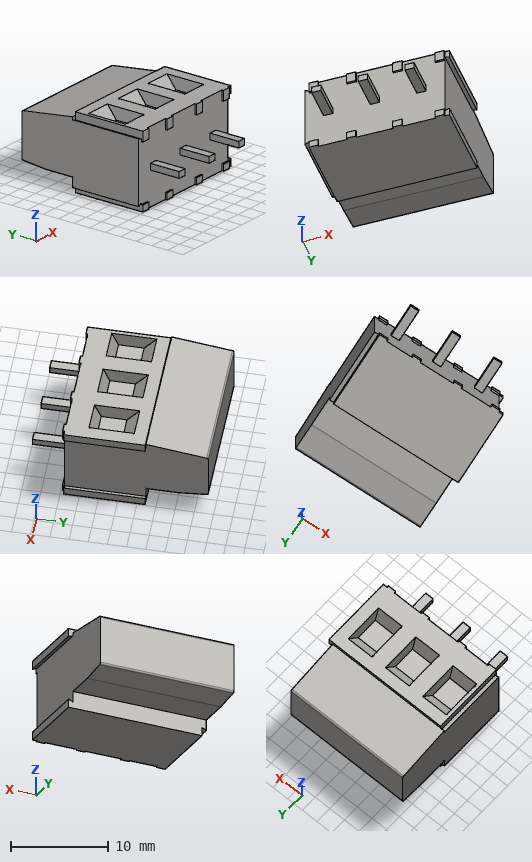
import cadquery as cq
import math


pole_count = 3
pitch = 5.08
body_width = pole_count * pitch
body_height = 9.0
body_depth = 15.0
front_depth = 8.5
left_face = -body_width / 2
right_face = body_width / 2
pole_centers = [(i - (pole_count - 1) / 2) * pitch for i in range(pole_count)]

rear_top = 8.6
roof_angle = 8.0
rear_bottom = 1.9
underside_slope_start = 11.9
underside_angle = 5.5
rear_edge_radius = 0.2

tongue_reach = 0.5
tongue_root = 0.73
tongue_tip = 0.91

foot_width = 1.0
inner_foot_offset = 2.52
foot_reach = 0.2
upper_foot_height = 1.22
lower_foot_height = 0.8
foot_lefts = [
    left_face + tongue_reach,
    -inner_foot_offset - foot_width / 2,
    inner_foot_offset - foot_width / 2,
    right_face - foot_width,
]

entry_width = 3.2
entry_front = 2.4
entry_back = 7.12
entry_depth = 1.4
floor_width = 2.8
floor_front = 3.15
floor_back = 5.82

pin_width = 1.0
pin_height = 0.75
pin_length = 3.7
pin_z = body_height / 2


def make_body():
    """Side outline of the housing, extruded across all the poles."""
    roof_drop = (body_depth - front_depth) * math.tan(math.radians(roof_angle))
    underside_rise = (body_depth - underside_slope_start) * math.tan(math.radians(underside_angle))
    outline = [
        (0, 0),
        (front_depth, 0),
        (front_depth, rear_bottom),
        (underside_slope_start, rear_bottom),
        (body_depth, rear_bottom + underside_rise),
        (body_depth, rear_top - roof_drop),
        (front_depth, rear_top),
        (front_depth, body_height),
        (0, body_height),
    ]
    body = cq.Workplane("YZ", origin=(left_face, 0, 0)).polyline(outline).close().extrude(body_width)
    return body.faces(">Y").edges("|X").fillet(rear_edge_radius)


def dovetail_bars(inner_x):
    """Upper and lower dovetail bars, reaching one tongue width in +X from inner_x."""
    outer_x = inner_x + tongue_reach
    bars = cq.Workplane("XZ")
    for edge_z, inward in ((0, 1), (body_height, -1)):
        section = [
            (inner_x, edge_z),
            (outer_x, edge_z),
            (outer_x, edge_z + inward * tongue_tip),
            (inner_x, edge_z + inward * tongue_root),
        ]
        bars = bars.add(cq.Workplane("XZ").polyline(section).close().extrude(-front_depth))
    return bars.combine()


def make_feet():
    """Upper and lower rows of standoff feet."""
    feet = cq.Workplane("XY")
    rows = ((0, lower_foot_height), (body_height - upper_foot_height, upper_foot_height))
    for left in foot_lefts:
        for bottom, height in rows:
            foot = cq.Workplane("XY").box(foot_width, foot_reach, height, centered=False)
            feet = feet.add(foot.translate((left, -foot_reach, bottom)))
    return feet.combine()


def make_entry(x):
    """Tapered wire entry, centred on one pole."""
    top_y = (entry_front + entry_back) / 2
    floor_y = (floor_front + floor_back) / 2
    return (
        cq.Workplane("XY", origin=(x, 0, body_height))
        .center(0, top_y)
        .rect(entry_width, entry_back - entry_front)
        .workplane(offset=-entry_depth)
        .center(0, floor_y - top_y)
        .rect(floor_width, floor_back - floor_front)
        .loft(ruled=True)
    )


def make_housing():
    """Housing with grooves on its left end, tongues on its right end, feet and wire entries."""
    housing = make_body().cut(dovetail_bars(left_face))
    housing = housing.union(dovetail_bars(right_face)).union(make_feet())
    for x in pole_centers:
        housing = housing.cut(make_entry(x))
    return housing


def make_pin(x):
    """Rectangular solder pin standing on the pin face."""
    pin = cq.Workplane("XY").box(pin_width, pin_length, pin_height)
    return pin.translate((x, -pin_length / 2, pin_z))


housing = make_housing()
pins = [make_pin(x) for x in pole_centers]

result = cq.Compound.makeCompound([housing.val(), *[pin.val() for pin in pins]])